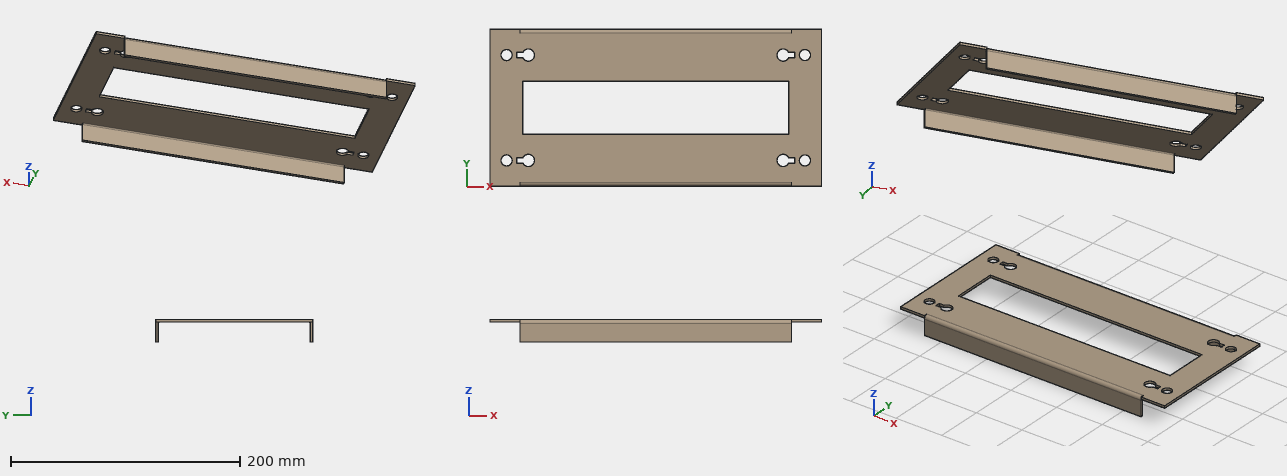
import cadquery as cq

plate_length = 289.5
plate_width = 137.5
thickness = 2.5

flange_length = 237.5
flange_height = 20.0
bend_outer_radius = 3.5
bend_inner_radius = bend_outer_radius - thickness

window_length = 232.0
window_width = 46.0

hole_row_y = 46.0
round_hole_x = 130.25
round_hole_diameter = 9.5
keyhole_x = 111.25
keyhole_diameter = 10.5
keyhole_slot_width = 4.5
keyhole_slot_end_x = 121.25


def make_plate():
    """Flat plate over the full length and width."""
    return cq.Workplane("XY").box(
        plate_length, plate_width, thickness, centered=(True, True, False)
    ).translate((0, 0, -thickness))


def make_channel():
    """Flanged middle stretch: a downward channel with rounded bends."""
    outer = (
        cq.Workplane("XY")
        .box(flange_length, plate_width, flange_height, centered=(True, True, False))
        .translate((0, 0, -flange_height))
        .edges("|X and >Z")
        .fillet(bend_outer_radius)
    )
    inner_height = flange_height - thickness
    inner = (
        cq.Workplane("XY")
        .box(flange_length, plate_width - 2 * thickness, inner_height, centered=(True, True, False))
        .translate((0, 0, -flange_height))
        .edges("|X and >Z")
        .fillet(bend_inner_radius)
    )
    return outer.cut(inner)


def make_end_tabs():
    """Flat plate with its middle stretch removed, leaving one tab at each end."""
    middle = cq.Workplane("XY").box(flange_length, plate_width, 2 * thickness)
    return make_plate().cut(middle)


def through_cutter(sketch):
    """Extrude a profile from the top face down through the plate."""
    return sketch.extrude(-thickness)


def make_window():
    return through_cutter(cq.Workplane("XY").rect(window_length, window_width))


def make_corner_holes(side_x, side_y):
    """Round hole and keyhole of one corner; the keyhole slot points to the plate end."""
    y = side_y * hole_row_y
    round_hole = through_cutter(
        cq.Workplane("XY").center(side_x * round_hole_x, y).circle(round_hole_diameter / 2)
    )
    key_circle = through_cutter(
        cq.Workplane("XY").center(side_x * keyhole_x, y).circle(keyhole_diameter / 2)
    )
    slot_length = keyhole_slot_end_x - keyhole_x
    slot_center_x = side_x * (keyhole_x + keyhole_slot_end_x) / 2
    key_slot = through_cutter(
        cq.Workplane("XY").center(slot_center_x, y).rect(slot_length, keyhole_slot_width)
    )
    return round_hole.union(key_circle.union(key_slot))


result = make_channel().union(make_end_tabs()).cut(make_window())
for side_x in (-1, 1):
    for side_y in (-1, 1):
        result = result.cut(make_corner_holes(side_x, side_y))